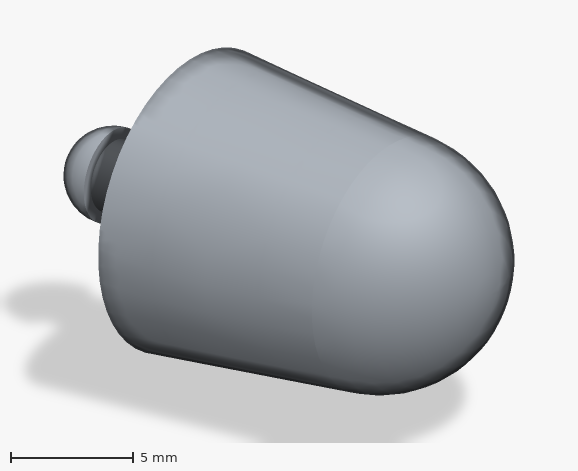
import cadquery as cq
import math

total_length = 21.05
head_radius = 2.05
stem_diameter = 3.1
stem_length = 4.0
base_diameter = 12.99
nose_radius = 5.5

stem_radius = stem_diameter / 2
base_radius = base_diameter / 2
base_x = head_radius + stem_length
nose_center_x = total_length - nose_radius

rim_offset = nose_center_x - base_x
rim_distance = math.hypot(rim_offset, base_radius)
rim_angle = math.atan2(base_radius, -rim_offset)
tangent_angle = rim_angle - math.acos(nose_radius / rim_distance)


def nose_point(angle):
    """Point on the nose arc at an angle from the +X axis."""
    return (
        nose_center_x + nose_radius * math.cos(angle),
        nose_radius * math.sin(angle),
    )


def head_point(angle):
    """Point on the hemispherical head at an angle from the -X axis."""
    return (
        head_radius - head_radius * math.cos(angle),
        head_radius * math.sin(angle),
    )


half_profile = (
    cq.Workplane("XY")
    .moveTo(0, 0)
    .threePointArc(head_point(math.pi / 4), (head_radius, head_radius))
    .lineTo(head_radius, stem_radius)
    .lineTo(base_x, stem_radius)
    .lineTo(base_x, base_radius)
    .lineTo(*nose_point(tangent_angle))
    .threePointArc(nose_point(tangent_angle / 2), (total_length, 0))
    .close()
)

result = half_profile.revolve(360, (0, 0, 0), (1, 0, 0))